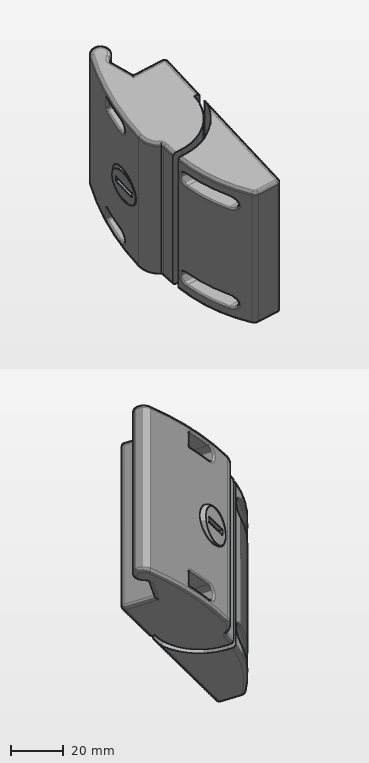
import cadquery as cq
import math

total_length = 96.5
height = 74.9
lock_face_y = -31.7
edge_radius = 1.5

pivot_x = 42.7
pivot_y = -21.8
barrel_radius = 19.3
socket_radius = 22.0

block_left_x = 20.0
grip_inner_y = -14.9
grip_slope = math.radians(17.8)
tip_radius = 4.15
tip_x = tip_radius
tip_y = -19.0
groove_radius = 1.8
crest_x = 47.0
crest_y = -31.6
shoulder_radius = 9.65
shoulder_angle = math.radians(60)
ledge_left_x = 56.35
ledge_left_y = -26.4
ledge_right_y = -26.0

plain_front_left_y = -25.5
plain_front_mid = (79.8, -21.5)
plain_corner_y = -11.9
plain_corner_radius = 2.9

slot_width = 6.8
slot_rim_radius = 0.8
hook_slot_left_x = 22.3
hook_slot_arc_x = 34.0
hook_slot_z = 31.3
hook_slot_corner_radius = 0.5
plain_slot_left_x = 69.1
plain_slot_right_x = 87.0
plain_slot_z = 28.2

lock_x = 37.7
lock_face_radius = 7.8
lock_depth = 2.9
key_length = 10.4
key_width = 2.3
key_depth = 1.9


def polar(center, radius, angle):
    """Point at an angle on a circle."""
    return (center[0] + radius * math.cos(angle), center[1] + radius * math.sin(angle))


def arc(sketch, center, radius, start_angle, end_angle):
    """Continue an outline along a circle between two angles."""
    middle = polar(center, radius, (start_angle + end_angle) / 2)
    return sketch.threePointArc(middle, polar(center, radius, end_angle))


def hook_profile():
    pivot = (pivot_x, pivot_y)
    tip = (tip_x, tip_y)

    run = crest_x - tip_x
    drop = tip_y - crest_y
    front_radius = (run**2 + drop**2 - tip_radius**2) / (2 * (drop - tip_radius))
    front_center = (crest_x, crest_y + front_radius)
    front_angle = math.atan2(tip_y - front_center[1], tip_x - front_center[0])

    along = (math.cos(grip_slope), math.sin(grip_slope))
    base = polar((block_left_x, grip_inner_y), groove_radius, grip_slope + math.pi / 2)
    offset = (base[0] - tip_x, base[1] - tip_y)
    projection = offset[0] * along[0] + offset[1] * along[1]
    reach = tip_radius + groove_radius
    slide = -projection + math.sqrt(projection**2 - offset[0]**2 - offset[1]**2 + reach**2)
    groove = polar(base, slide, grip_slope)
    contact_angle = math.atan2(groove[1] - tip_y, groove[0] - tip_x)

    shoulder = (crest_x, crest_y + shoulder_radius)
    shoulder_end_angle = -math.pi / 2 + shoulder_angle

    sketch = cq.Workplane("XY").moveTo(block_left_x, 0).lineTo(pivot_x, 0)
    sketch = sketch.lineTo(pivot_x, pivot_y + barrel_radius)
    sketch = arc(sketch, pivot, barrel_radius, math.pi / 2, 0)
    sketch = sketch.lineTo(pivot_x + barrel_radius, ledge_right_y).lineTo(ledge_left_x, ledge_left_y)
    shoulder_end = polar(shoulder, shoulder_radius, shoulder_end_angle)
    sketch = sketch.tangentArcPoint(shoulder_end, relative=False)
    sketch = arc(sketch, shoulder, shoulder_radius, shoulder_end_angle, -math.pi / 2)
    sketch = arc(sketch, front_center, front_radius, -math.pi / 2, front_angle)
    sketch = arc(sketch, tip, tip_radius, front_angle + 2 * math.pi, contact_angle)
    sketch = arc(sketch, groove, groove_radius, contact_angle - math.pi, grip_slope - math.pi / 2)
    return sketch.lineTo(block_left_x, grip_inner_y).close()


def plain_profile():
    socket_mouth_x = pivot_x + math.sqrt(socket_radius**2 - pivot_y**2)
    socket_right_x = pivot_x + socket_radius
    sketch = cq.Workplane("XY").moveTo(socket_mouth_x, 0).lineTo(total_length, 0)
    sketch = sketch.lineTo(total_length, plain_corner_y)
    sketch = sketch.threePointArc(plain_front_mid, (socket_right_x, plain_front_left_y))
    sketch = sketch.lineTo(socket_right_x, pivot_y)
    start_angle = math.atan2(-pivot_y, socket_mouth_x - pivot_x)
    return arc(sketch, (pivot_x, pivot_y), socket_radius, 0, start_angle).close()


def extrude_leaf(profile):
    """Extrude an outline to the full height, centred on Z = 0."""
    return profile.extrude(height / 2, both=True)


def round_end_edges(leaf, gap_radius):
    """Round the top and bottom outlines, leaving the edges along the hinge gap sharp."""
    tolerance = 0.01

    def borders_gap(edge):
        middle = edge.positionAt(0.5)
        on_arc = abs(math.hypot(middle.x - pivot_x, middle.y - pivot_y) - gap_radius) < tolerance
        on_flat = abs(middle.x - pivot_x - gap_radius) < tolerance
        on_step = abs(middle.x - pivot_x) < tolerance
        return on_arc or on_flat or on_step

    end_edges = leaf.faces("|Z").edges()
    return end_edges.filter(lambda edge: not borders_gap(edge)).fillet(edge_radius)


def cut_slot(leaf, cutter, left_x, right_x, center_z):
    """Cut a slot through the leaf along Y and round its front rim."""
    leaf = leaf.cut(cutter)
    margin = 0.1
    half_width = slot_width / 2 + margin
    front_limit_y = -edge_radius

    def on_front_rim(edge):
        box = edge.BoundingBox()
        in_x = box.xmin > left_x - margin and box.xmax < right_x + margin
        in_z = abs(box.zmin - center_z) < half_width and abs(box.zmax - center_z) < half_width
        return in_x and in_z and box.ymax < front_limit_y

    return leaf.edges().filter(on_front_rim).fillet(slot_rim_radius)


def hook_slot_cutter(center_z):
    """Slot with a square left end and a round right end."""
    half_width = slot_width / 2
    cutter = (
        cq.Workplane("XZ")
        .moveTo(hook_slot_left_x, center_z - half_width)
        .lineTo(hook_slot_arc_x, center_z - half_width)
        .threePointArc((hook_slot_arc_x + half_width, center_z), (hook_slot_arc_x, center_z + half_width))
        .lineTo(hook_slot_left_x, center_z + half_width)
        .close()
        .extrude(-lock_face_y)
    )
    return cutter.edges("|Y and <X").fillet(hook_slot_corner_radius)


def plain_slot_cutter(center_z):
    """Slot with two round ends."""
    center_x = (plain_slot_left_x + plain_slot_right_x) / 2
    length = plain_slot_right_x - plain_slot_left_x + slot_width
    return cq.Workplane("XZ").center(center_x, center_z).slot2D(length, slot_width).extrude(-lock_face_y)


def add_lock(leaf):
    """Raised round lock face with a 45 degree flank and a key slot."""
    face = cq.Workplane("XZ", origin=(lock_x, lock_face_y, 0))
    boss = face.circle(lock_face_radius).extrude(-lock_depth, taper=-45)
    key_slot = face.rect(key_length, key_width).extrude(-key_depth)
    return leaf.union(boss).cut(key_slot)


def make_hook_leaf():
    leaf = extrude_leaf(hook_profile())
    leaf = leaf.edges(cq.selectors.NearestToPointSelector((block_left_x, 0, 0))).fillet(edge_radius)
    leaf = round_end_edges(leaf, barrel_radius)
    right_x = hook_slot_arc_x + slot_width / 2
    for center_z in (-hook_slot_z, hook_slot_z):
        leaf = cut_slot(leaf, hook_slot_cutter(center_z), hook_slot_left_x, right_x, center_z)
    return add_lock(leaf)


def make_plain_leaf():
    leaf = extrude_leaf(plain_profile())
    front_corner = cq.selectors.NearestToPointSelector((total_length, plain_corner_y, 0))
    leaf = leaf.edges(front_corner).fillet(plain_corner_radius)
    back_corner = cq.selectors.NearestToPointSelector((total_length, 0, 0))
    leaf = leaf.edges(back_corner).fillet(edge_radius)
    leaf = round_end_edges(leaf, socket_radius)
    left_x = plain_slot_left_x - slot_width / 2
    right_x = plain_slot_right_x + slot_width / 2
    for center_z in (-plain_slot_z, plain_slot_z):
        leaf = cut_slot(leaf, plain_slot_cutter(center_z), left_x, right_x, center_z)
    return leaf


hook_leaf = make_hook_leaf()
plain_leaf = make_plain_leaf()

result = cq.Compound.makeCompound([hook_leaf.val(), plain_leaf.val()])